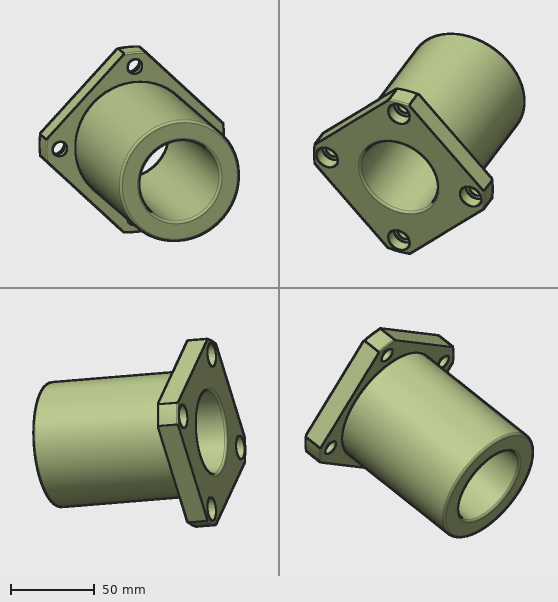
import cadquery as cq

total_length = 100.0
flange_diameter = 111.9
flange_square = 88.0
flange_thickness = 13.0
flange_edge_radius = 0.9

body_diameter = 75.0
body_end_radius = 1.5
bore_diameter = 50.0
bore_end_radius = 1.5

hole_count = 4
hole_circle_radius = 47.0
hole_diameter = 9.0
counterbore_diameter = 14.0
counterbore_depth = 8.1

front_x = -total_length / 2


def cylinder(diameter, length):
    """Solid cylinder along +X, starting at the flange face."""
    return cq.Workplane("YZ", origin=(front_x, 0, 0)).circle(diameter / 2).extrude(length)


def make_flange():
    """Round-edged disc trimmed to a square standing on one corner."""
    disc = cylinder(flange_diameter, flange_thickness).edges().fillet(flange_edge_radius)
    square = (
        cq.Workplane("YZ", origin=(front_x, 0, 0))
        .rect(flange_square, flange_square)
        .extrude(flange_thickness)
        .rotate((0, 0, 0), (1, 0, 0), 45)
    )
    return disc.intersect(square)


def make_body():
    """Sleeve body with a rounded rim at its free end."""
    return cylinder(body_diameter, total_length).faces(">X").edges().fillet(body_end_radius)


def bore_through(part):
    """Through bore with rounded mouths at both ends."""
    bored = part.cut(cylinder(bore_diameter, total_length))
    mouth_edges = cq.selectors.RadiusNthSelector(0)
    for end in ("<X", ">X"):
        bored = bored.faces(end).edges(mouth_edges).fillet(bore_end_radius)
    return bored


def make_mounting_holes():
    """Cutters for the four holes, one near each flange corner."""
    hole = cylinder(hole_diameter, flange_thickness)
    counterbore = cylinder(counterbore_diameter, counterbore_depth)
    cutter = hole.union(counterbore).translate((0, 0, hole_circle_radius))
    cutters = cq.Workplane()
    for index in range(hole_count):
        cutters = cutters.add(cutter.rotate((0, 0, 0), (1, 0, 0), 360 / hole_count * index))
    return cutters.combine()


sleeve = bore_through(make_flange().union(make_body()))
result = sleeve.cut(make_mounting_holes())